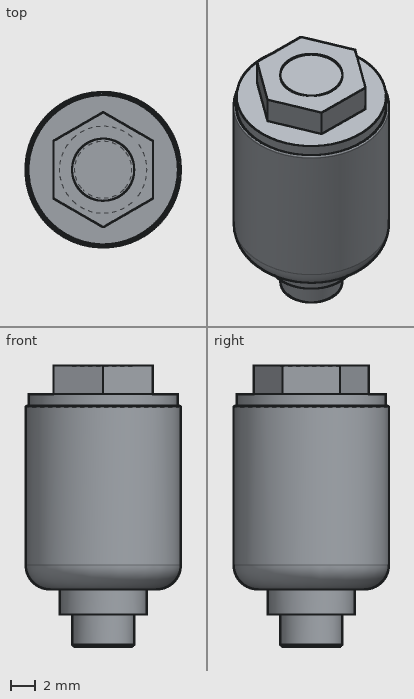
import cadquery as cq

total_height = 22.6
pin_length = 2.6
collar_height = 2.01
barrel_height = 14.6
hex_height = 2.3
hex_base = total_height - hex_height
collar_bottom = pin_length
body_bottom = collar_bottom + collar_height
rim_base = body_bottom + barrel_height

body_diameter = 12.5
flange_diameter = 12.0
seat_diameter = 12.11
collar_diameter = 7.0
pin_diameter = 5.0
hex_across_flats = 8.0
recess_diameter = pin_diameter

body_bottom_radius = 2.0
rim_radius = 0.15
pin_chamfer = 0.2
recess_depth = 0.1


def cylinder(diameter, bottom, top):
    """Solid cylinder on the Z axis between two heights."""
    return cq.Workplane("XY").workplane(offset=bottom).circle(diameter / 2).extrude(top - bottom)


def make_body():
    """Barrel with a large bottom round and a rounded rim set slightly off the flange."""
    barrel = cylinder(body_diameter, body_bottom, rim_base)
    barrel = barrel.faces("<Z").edges().fillet(body_bottom_radius)
    rim_centre = body_diameter / 2 - rim_radius
    rim = cq.Solid.makeTorus(rim_centre, rim_radius, cq.Vector(0, 0, rim_base))
    seat = cylinder(seat_diameter, rim_base, hex_base)
    return barrel.union(cq.Workplane(rim)).cut(seat)


def make_pin():
    """Lower pin with a chamfered tip."""
    pin = cylinder(pin_diameter, 0, collar_bottom)
    return pin.faces("<Z").edges().chamfer(pin_chamfer)


def make_hex_head():
    """Hexagonal head with two flats facing X and a round recess on top."""
    head = (
        cq.Workplane("XY")
        .workplane(offset=hex_base)
        .polygon(6, hex_across_flats, circumscribed=True)
        .extrude(hex_height)
    )
    return head.cut(cylinder(recess_diameter, total_height - recess_depth, total_height))


collar = cylinder(collar_diameter, collar_bottom, body_bottom)
flange = cylinder(flange_diameter, rim_base, hex_base)

result = make_pin().union(collar).union(make_body()).union(flange).union(make_hex_head())